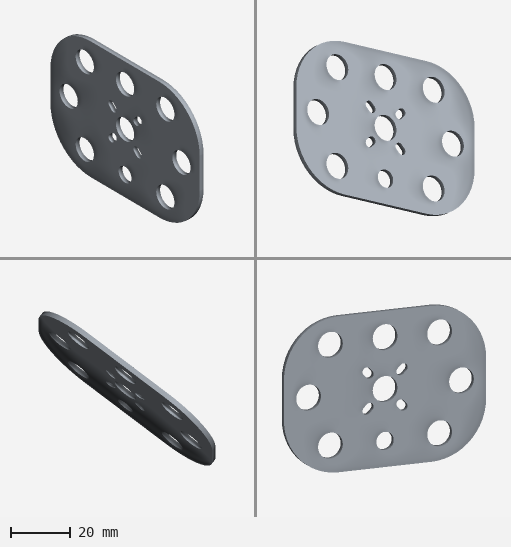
import cadquery as cq
import math

length = 74.0
height = 54.0
thickness = 1.8
corner_radius = 20.0

hole_diameter = 9.0
small_hole_diameter = 6.4
corner_hole_x = 20.0
corner_hole_z = 17.5
side_hole_x = 28.0
end_hole_z = 18.0

slot_width = 2.95
slot_inner_radius = 8.0
slot_outer_radius = 9.55
slot_angles = (45, 135, 225, 315)


def make_plate():
    blank = cq.Workplane("XY").box(length, thickness, height)
    return blank.edges("|Y").fillet(corner_radius)


def round_cutters(points, diameter):
    sketch = cq.Workplane("XZ", origin=(0, thickness / 2, 0)).pushPoints(points)
    return sketch.circle(diameter / 2).extrude(thickness)


def slot_cutter(angle):
    middle_radius = (slot_inner_radius + slot_outer_radius) / 2
    overall_length = slot_outer_radius - slot_inner_radius + slot_width
    middle_x = middle_radius * math.cos(math.radians(angle))
    middle_z = middle_radius * math.sin(math.radians(angle))
    sketch = cq.Workplane("XZ", origin=(0, thickness / 2, 0)).center(middle_x, middle_z)
    return sketch.slot2D(overall_length, slot_width, angle).extrude(thickness)


large_holes = [(0, 0), (0, end_hole_z)]
for side in (-1, 1):
    large_holes.append((side * side_hole_x, 0))
    for end in (-1, 1):
        large_holes.append((side * corner_hole_x, end * corner_hole_z))

result = make_plate()
result = result.cut(round_cutters(large_holes, hole_diameter))
result = result.cut(round_cutters([(0, -end_hole_z)], small_hole_diameter))
for slot_angle in slot_angles:
    result = result.cut(slot_cutter(slot_angle))